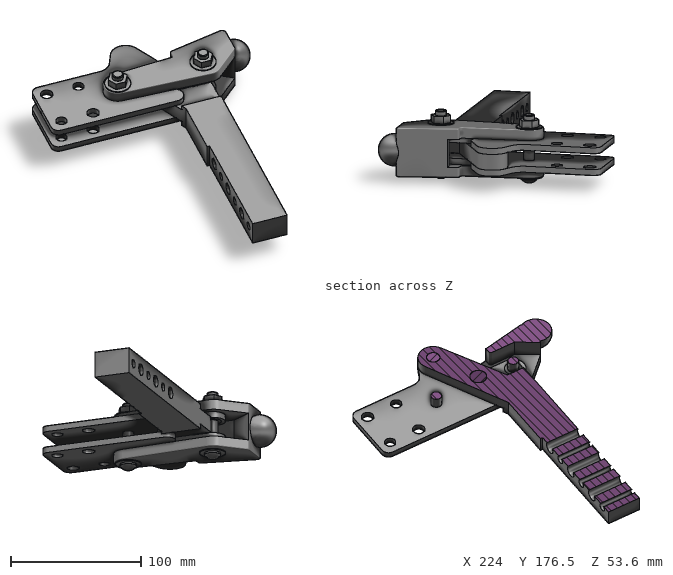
import cadquery as cq
import math


ARM_THICKNESS = 12.3
PLATE_THICKNESS = 4.7
HANDLE_THICKNESS = 38.0
ARM_TOP = ARM_THICKNESS / 2
PLATE_TOP = ARM_TOP + PLATE_THICKNESS
HANDLE_TOP = HANDLE_THICKNESS / 2

HANDLE_PIVOT = (0, 0)
LINK_HANDLE_PIVOT = (0, 69.9)
LINK_ARM_PIVOT = (0, 38.0)
ARM_PIVOT = (-35.8, 20.0)
ARM_PIN_RADIUS = 5.4
LINK_PIN_RADIUS = 6.3

BOLT_RADIUS = 4.3
BOLT_END = 29.1
BOLT_CHAMFER = 0.7
SLEEVE_RADIUS = 6.7
WASHER_RADIUS = 10.0
WASHER_THICKNESS = 0.7
NUT_HEIGHT = 5.5
NUT_ACROSS_FLATS = 13.5
HEAD_RADIUS = 6.3
HEAD_RIM = 1.3
HEAD_END = 24.5

BASE_HALF_WIDTH = 26.0
BASE_BOTTOM = -62.0
BASE_CORNER_RADIUS = 6.0
LUG_RADIUS = 11.9
LUG_UPPER_SLOPE = 28
LUG_LOWER_SLOPE = 25
LUG_FILLET = 10.8
VALLEY_RADIUS = 12.3
SHOULDER_Y = 39.6
SHOULDER_RISE = 1.1
SHOULDER_START_X = -23.0
MOUNT_SPACING_X = 32.3
MOUNT_UPPER_Y = -26.2
MOUNT_LOWER_Y = -52.2
MOUNT_RADIUS_UPPER_LEFT = 4.3
MOUNT_RADIUS_UPPER_RIGHT = 4.7
MOUNT_RADIUS_LOWER_LEFT = 4.7
MOUNT_RADIUS_LOWER_RIGHT = 4.3

BAR_END = 176.3
BAR_START = 31.8
BAR_TOP = 72.8
BAR_BOTTOM = 42.5
BAR_BOTTOM_START = 36.0
BAR_THICKNESS = 20.2
ARM_INNER_X = 10.3
RELIEF_START = 82.0
RELIEF_DEPTH = 2.0
BAR_HOLE_FIRST = 92.0
BAR_HOLE_PITCH = 15.0
BAR_HOLE_COUNT = 6
BAR_HOLE_LARGE = 4.5
BAR_HOLE_SMALL = 3.1

LINK_RADIUS = 9.9

HANDLE_END_RADIUS = 11.2
HANDLE_END_Y = 98.5
HANDLE_END_LEFT = -30.0
HANDLE_END_RIGHT = -5.5
ELBOW = (15.0, 76.4)
ELBOW_RADIUS = 11.2
HEEL = (-20.4, 50.5)
HEEL_RADIUS = 1.8
STEP = (-14.0, 50.5)
STEP_RADIUS = 1.8
GRIP_CORNER_RADIUS = 3.4
RIM_FILLET = 1.0
SLOT_Y = 59.0
SLOT_X = -16.0
SLOT_BEND_Y = 81.3
SLOT_MOUTH = (-7.0, 94.7)
SLOT_FILLET = 1.8

BALL_CENTRE = (-18.1, 102.0)
BALL_RADIUS = 12.5


def tangent_point(point, centre, radius, side):
    """Where a line from point touches a circle; side is +1 or -1, counter-clockwise or clockwise."""
    dx = point[0] - centre[0]
    dy = point[1] - centre[1]
    angle = math.atan2(dy, dx) + side * math.acos(radius / math.hypot(dx, dy))
    return on_circle(centre, radius, math.degrees(angle))


def on_circle(centre, radius, degrees):
    """Point of a circle at an angle measured counter-clockwise from +X."""
    angle = math.radians(degrees)
    return (centre[0] + radius * math.cos(angle), centre[1] + radius * math.sin(angle))


def layer(z_low, z_high):
    """Sketch plane at z_low and the height up to z_high."""
    return cq.Workplane("XY", origin=(0, 0, z_low)), z_high - z_low


def disc(centre, radius, z_low, z_high):
    plane, height = layer(z_low, z_high)
    return plane.center(*centre).circle(radius).extrude(height)


def round_corner(prism, corner, radius):
    """Round the upright edge of a prism that stands at the given XY corner."""
    box = prism.val().BoundingBox()
    middle = (corner[0], corner[1], (box.zmin + box.zmax) / 2)
    return prism.edges(cq.selectors.NearestToPointSelector(middle)).fillet(radius)


LUG_UPPER_TANGENT = on_circle(ARM_PIVOT, LUG_RADIUS, 90 + LUG_UPPER_SLOPE)
LUG_LOWER_TANGENT = on_circle(ARM_PIVOT, LUG_RADIUS, -90 - LUG_LOWER_SLOPE)
LUG_TIP = on_circle(ARM_PIVOT, LUG_RADIUS, 180)


def lug_upper_edge(x):
    """Y of the straight upper edge that the lug of the base shares with the arm."""
    return LUG_UPPER_TANGENT[1] + (x - LUG_UPPER_TANGENT[0]) * math.tan(math.radians(LUG_UPPER_SLOPE))


def base_plate(z_low):
    plane, height = layer(z_low, z_low + PLATE_THICKNESS)
    lug_drop = (-BASE_HALF_WIDTH - LUG_LOWER_TANGENT[0]) * math.tan(math.radians(LUG_LOWER_SLOPE))
    lug_corner = (-BASE_HALF_WIDTH, LUG_LOWER_TANGENT[1] - lug_drop)
    shoulder_start = (SHOULDER_START_X, lug_upper_edge(SHOULDER_START_X))
    shoulder_middle = ((SHOULDER_START_X - VALLEY_RADIUS) / 2, SHOULDER_Y + SHOULDER_RISE)
    hump_x = (BASE_HALF_WIDTH + VALLEY_RADIUS) / 2
    hump_radius = (BASE_HALF_WIDTH - VALLEY_RADIUS) / 2
    plate = (
        plane.moveTo(-BASE_HALF_WIDTH, BASE_BOTTOM)
        .lineTo(BASE_HALF_WIDTH, BASE_BOTTOM)
        .lineTo(BASE_HALF_WIDTH, SHOULDER_Y)
        .threePointArc((hump_x, SHOULDER_Y + hump_radius), (VALLEY_RADIUS, SHOULDER_Y))
        .threePointArc((0, SHOULDER_Y - VALLEY_RADIUS), (-VALLEY_RADIUS, SHOULDER_Y))
        .threePointArc(shoulder_middle, shoulder_start)
        .lineTo(*LUG_UPPER_TANGENT)
        .threePointArc(LUG_TIP, LUG_LOWER_TANGENT)
        .lineTo(*lug_corner)
        .close()
        .extrude(height)
    )
    plate = round_corner(plate, lug_corner, LUG_FILLET)
    for side in (-1, 1):
        plate = round_corner(plate, (side * BASE_HALF_WIDTH, BASE_BOTTOM), BASE_CORNER_RADIUS)
    return plate


def make_base():
    """Two plates joined by the pin that carries the arm; the pin ends keep their own flush faces."""
    base = disc(ARM_PIVOT, ARM_PIN_RADIUS, -PLATE_TOP, PLATE_TOP)
    for z_low in (-PLATE_TOP, ARM_TOP):
        base = base.union(base_plate(z_low), clean=False)
    base = base.cut(disc(HANDLE_PIVOT, BOLT_RADIUS, -PLATE_TOP, PLATE_TOP), clean=False)
    mount_x = MOUNT_SPACING_X / 2
    mounts = [
        (-mount_x, MOUNT_UPPER_Y, MOUNT_RADIUS_UPPER_LEFT),
        (mount_x, MOUNT_UPPER_Y, MOUNT_RADIUS_UPPER_RIGHT),
        (-mount_x, MOUNT_LOWER_Y, MOUNT_RADIUS_LOWER_LEFT),
        (mount_x, MOUNT_LOWER_Y, MOUNT_RADIUS_LOWER_RIGHT),
    ]
    for x, y, radius in mounts:
        base = base.cut(disc((x, y), radius, -PLATE_TOP, PLATE_TOP), clean=False)
    return base


def make_arm():
    bar_corner = (BAR_BOTTOM_START, BAR_BOTTOM)
    lower_tangent = tangent_point(bar_corner, ARM_PIVOT, LUG_RADIUS, -1)
    relief_y = BAR_BOTTOM + RELIEF_DEPTH

    def profile(half_thickness):
        """Whole outline of the arm, extruded both ways from Z = 0."""
        plane, height = layer(-half_thickness, half_thickness)
        return (
            plane.moveTo(*lower_tangent)
            .lineTo(*bar_corner)
            .lineTo(RELIEF_START, BAR_BOTTOM)
            .lineTo(RELIEF_START, relief_y)
            .lineTo(BAR_END, relief_y)
            .lineTo(BAR_END, BAR_TOP)
            .lineTo(ARM_INNER_X, BAR_TOP)
            .lineTo(ARM_INNER_X, lug_upper_edge(ARM_INNER_X))
            .lineTo(*LUG_UPPER_TANGENT)
            .threePointArc(LUG_TIP, lower_tangent)
            .close()
            .extrude(height)
        )

    plane, height = layer(-BAR_THICKNESS / 2, BAR_THICKNESS / 2)
    bar_zone = plane.moveTo(BAR_START, 0).rect(BAR_END - BAR_START, BAR_TOP, centered=False)
    bar = profile(BAR_THICKNESS / 2).intersect(bar_zone.extrude(height))
    arm = profile(ARM_TOP).union(bar)
    for index in range(BAR_HOLE_COUNT):
        radius = BAR_HOLE_SMALL if index % 2 else BAR_HOLE_LARGE
        hole = cq.Workplane("XZ").center(BAR_HOLE_FIRST + index * BAR_HOLE_PITCH, 0)
        arm = arm.cut(hole.circle(radius).extrude(-BAR_TOP))
    arm = arm.cut(disc(ARM_PIVOT, ARM_PIN_RADIUS, -ARM_TOP, ARM_TOP))
    return arm.cut(disc(LINK_ARM_PIVOT, LINK_PIN_RADIUS, -ARM_TOP, ARM_TOP))


def make_link():
    """Two straps joined by the pin that goes through the arm; the pin ends keep their own flush faces."""
    length = LINK_HANDLE_PIVOT[1] - LINK_ARM_PIVOT[1]
    middle_y = (LINK_HANDLE_PIVOT[1] + LINK_ARM_PIVOT[1]) / 2
    link = disc(LINK_ARM_PIVOT, LINK_PIN_RADIUS, -PLATE_TOP, PLATE_TOP)
    for z_low in (-PLATE_TOP, ARM_TOP):
        plane, height = layer(z_low, z_low + PLATE_THICKNESS)
        strap = plane.center(0, middle_y).slot2D(length + 2 * LINK_RADIUS, 2 * LINK_RADIUS, 90)
        link = link.union(strap.extrude(height), clean=False)
    return link.cut(disc(LINK_HANDLE_PIVOT, SLEEVE_RADIUS, -PLATE_TOP, PLATE_TOP), clean=False)


def handle_blank():
    plane, height = layer(-HANDLE_TOP, HANDLE_TOP)
    end_left = (HANDLE_END_LEFT, HANDLE_END_Y)
    end_right = (HANDLE_END_RIGHT, HANDLE_END_Y)
    round_right = tangent_point(ELBOW, HANDLE_PIVOT, HANDLE_END_RADIUS, -1)
    round_left = tangent_point(STEP, HANDLE_PIVOT, HANDLE_END_RADIUS, 1)
    blank = (
        plane.moveTo(*end_left)
        .lineTo(*end_right)
        .lineTo(*ELBOW)
        .lineTo(*round_right)
        .threePointArc((0, -HANDLE_END_RADIUS), round_left)
        .lineTo(*STEP)
        .lineTo(*HEEL)
        .close()
        .extrude(height)
    )
    corners = [
        (end_left, GRIP_CORNER_RADIUS),
        (end_right, GRIP_CORNER_RADIUS),
        (ELBOW, ELBOW_RADIUS),
        (STEP, STEP_RADIUS),
        (HEEL, HEEL_RADIUS),
    ]
    for corner, radius in corners:
        blank = round_corner(blank, corner, radius)
    return blank.faces("<Z or >Z").edges().fillet(RIM_FILLET)


def handle_slot():
    """Clearance between the handle's two cheeks for the base, arm and link."""
    lean = (SLOT_MOUTH[0] - SLOT_X) / (SLOT_MOUTH[1] - SLOT_BEND_Y)
    outside_x = 2 * ELBOW[0]
    mouth_x = SLOT_X + (HANDLE_END_Y - SLOT_BEND_Y) * lean
    below_y = -2 * HANDLE_END_RADIUS
    plane, height = layer(-PLATE_TOP, PLATE_TOP)
    slot = (
        plane.moveTo(mouth_x, HANDLE_END_Y)
        .lineTo(SLOT_X, SLOT_BEND_Y)
        .lineTo(SLOT_X, SLOT_Y)
        .lineTo(HANDLE_END_LEFT, SLOT_Y)
        .lineTo(HANDLE_END_LEFT, below_y)
        .lineTo(outside_x, below_y)
        .lineTo(outside_x, HANDLE_END_Y)
        .close()
        .extrude(height)
    )
    return round_corner(slot, (SLOT_X, SLOT_Y), SLOT_FILLET)


def ball():
    return cq.Workplane("XY").sphere(BALL_RADIUS).translate((*BALL_CENTRE, 0))


def bolt(centre):
    washer_top = HANDLE_TOP + WASHER_THICKNESS
    shank = disc(centre, BOLT_RADIUS, -HANDLE_TOP, BOLT_END).faces(">Z").chamfer(BOLT_CHAMFER)
    washers = disc(centre, WASHER_RADIUS, HANDLE_TOP, washer_top)
    washers = washers.union(disc(centre, WASHER_RADIUS, -washer_top, -HANDLE_TOP))
    corner_circle = NUT_ACROSS_FLATS / math.cos(math.pi / 6)
    nut = cq.Workplane("XY", origin=(*centre, washer_top)).transformed(rotate=(0, 0, 90))
    nut = nut.polygon(6, corner_circle).extrude(NUT_HEIGHT)
    rim_z = -washer_top - HEAD_RIM
    dome_height = HEAD_END + rim_z
    dome_radius = (HEAD_RADIUS**2 + dome_height**2) / (2 * dome_height)
    dome = cq.Workplane("XY").sphere(dome_radius).translate((*centre, dome_radius - HEAD_END))
    head = disc(centre, HEAD_RADIUS, -HEAD_END, -washer_top).intersect(dome)
    return shank.union(washers).union(nut).union(head)


def make_handle():
    handle = handle_blank().cut(handle_slot()).union(ball())
    for z_low in (-PLATE_TOP, ARM_TOP):
        handle = handle.union(disc(LINK_HANDLE_PIVOT, SLEEVE_RADIUS, z_low, z_low + PLATE_THICKNESS))
    for centre in (HANDLE_PIVOT, LINK_HANDLE_PIVOT):
        handle = handle.union(bolt(centre))
    return handle


base = make_base()
arm = make_arm()
link = make_link()
handle = make_handle()

bodies = [body.solids().val() for body in (base, arm, link, handle)]
result = cq.Compound.makeCompound(bodies)